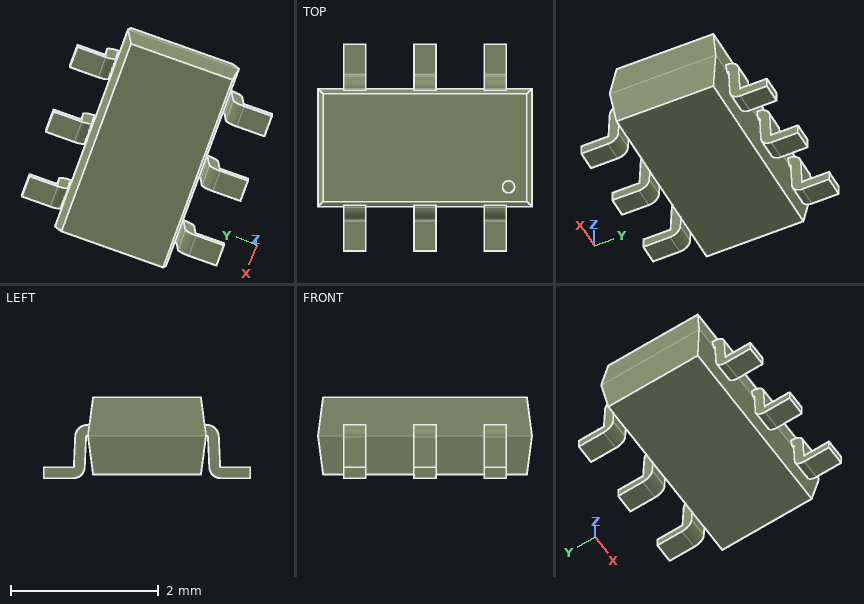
import cadquery as cq
import math

body_length = 2.9
body_width = 1.6
body_height = 1.05
standoff = 0.05
taper_inset = 0.07

lead_span = 2.8
lead_pitch = 0.95
lead_width = 0.3
lead_thickness = 0.15
foot_length = 0.41
leg_lean_degrees = 2.5
leg_lean = math.radians(leg_lean_degrees)
lower_inner_radius = 0.005
upper_inner_radius = 0.02
lead_root_y = 0.58

mark_x = 1.13
mark_y = -0.53
mark_radius = 0.08
mark_depth = 0.003

half_height = body_height / 2
parting_z = standoff + half_height
top_z = standoff + body_height
lower_outer_radius = lower_inner_radius + lead_thickness
upper_outer_radius = upper_inner_radius + lead_thickness


def half_body(direction):
    """Frustum from the parting plane up (direction 1) or down (-1)."""
    return (
        cq.Workplane("XY", origin=(0, 0, parting_z))
        .rect(body_length, body_width)
        .workplane(offset=direction * half_height)
        .rect(body_length - 2 * taper_inset, body_width - 2 * taper_inset)
        .loft(ruled=True)
    )


def bend_point(centre, radius, angle):
    """Point (y, z) on a bend, with the angle measured from +Y."""
    return (centre[0] + radius * math.cos(angle), centre[1] + radius * math.sin(angle))


def lead_row():
    """Three leads on the +Y side, each running from its foot up into the body."""
    foot_tip = lead_span / 2
    lower_centre = (foot_tip - foot_length + lower_inner_radius, lower_outer_radius)
    upper_z = parting_z - upper_inner_radius
    leg_rise = upper_z - lower_centre[1]
    radius_sum = lower_inner_radius + upper_outer_radius
    upper_y = lower_centre[0] - radius_sum / math.cos(leg_lean) - leg_rise * math.tan(leg_lean)
    upper_centre = (upper_y, upper_z)

    up = math.pi / 2
    upper_middle = (up + leg_lean) / 2
    lower_middle = upper_middle + math.pi

    profile = (
        cq.Workplane("YZ")
        .moveTo(foot_tip, 0)
        .lineTo(foot_tip, lead_thickness)
        .lineTo(lower_centre[0], lead_thickness)
        .threePointArc(
            bend_point(lower_centre, lower_inner_radius, lower_middle),
            bend_point(lower_centre, lower_inner_radius, leg_lean + math.pi),
        )
        .lineTo(*bend_point(upper_centre, upper_outer_radius, leg_lean))
        .threePointArc(
            bend_point(upper_centre, upper_outer_radius, upper_middle),
            bend_point(upper_centre, upper_outer_radius, up),
        )
        .lineTo(lead_root_y, parting_z + lead_thickness)
        .lineTo(lead_root_y, parting_z)
        .lineTo(upper_centre[0], parting_z)
        .threePointArc(
            bend_point(upper_centre, upper_inner_radius, upper_middle),
            bend_point(upper_centre, upper_inner_radius, leg_lean),
        )
        .lineTo(*bend_point(lower_centre, lower_outer_radius, leg_lean + math.pi))
        .threePointArc(
            bend_point(lower_centre, lower_outer_radius, lower_middle),
            bend_point(lower_centre, lower_outer_radius, -up),
        )
        .close()
    )
    lead = profile.extrude(lead_width / 2, both=True)
    row = lead
    for side in (-1, 1):
        row = row.union(lead.translate((side * lead_pitch, 0, 0)))
    return row


pin_mark = (
    cq.Workplane("XY", origin=(mark_x, mark_y, top_z - mark_depth))
    .circle(mark_radius)
    .extrude(2 * mark_depth)
)

leads = lead_row()
body = half_body(1).union(half_body(-1)).cut(pin_mark)
result = body.union(leads).union(leads.mirror("XZ"))